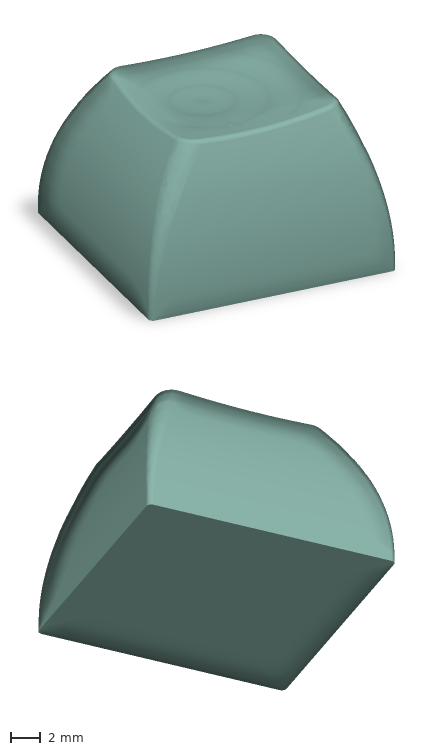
import cadquery as cq
import math

base_size = 18.2
skirt_height = 0.75
blank_height = 12.4
side_wall_radius = 20.5
front_wall_radius = 16.3
back_wall_radius = 25.0

dish_radius = 41.5
dish_center_y = -1.04
dish_floor_z = 10.67

corner_radius_base = 0.35
corner_radius_top = 1.5
rim_radius = 0.4

half_base = base_size / 2


def wall_inset(wall_radius, z):
    """Inward lean at height z of a wall that leaves the skirt vertically."""
    rise = z - skirt_height
    return wall_radius - math.sqrt(wall_radius**2 - rise**2)


def arched_prism(plane, left_radius, right_radius):
    """Prism through the full footprint with one arched wall on each side, standing on the skirt."""
    middle_z = (skirt_height + blank_height) / 2

    def wall_point(side, wall_radius, z):
        return (side * (half_base - wall_inset(wall_radius, z)), z)

    return (
        cq.Workplane(plane)
        .moveTo(-half_base, skirt_height)
        .lineTo(half_base, skirt_height)
        .threePointArc(
            wall_point(1, right_radius, middle_z),
            wall_point(1, right_radius, blank_height),
        )
        .lineTo(*wall_point(-1, left_radius, blank_height))
        .threePointArc(
            wall_point(-1, left_radius, middle_z),
            (-half_base, skirt_height),
        )
        .close()
        .extrude(half_base, both=True)
    )


def skirt():
    """Straight square band with rounded corners."""
    return (
        cq.Workplane("XY")
        .rect(base_size, base_size)
        .extrude(skirt_height)
        .edges("|Z")
        .fillet(corner_radius_base)
    )


def arched_block():
    """Block above the skirt with all four walls arched."""
    across_x = arched_prism("XZ", side_wall_radius, side_wall_radius)
    across_y = arched_prism("YZ", front_wall_radius, back_wall_radius)
    return across_x.intersect(across_y)


def cut_dish(body):
    """Hollow the top with a large sphere."""
    center = (0, dish_center_y, dish_floor_z + dish_radius)
    return body.cut(cq.Workplane("XY").sphere(dish_radius).translate(center))


def round_wall_corners(walls):
    """Round the four wall corners, growing in radius from the skirt to the dish."""
    solid = walls.val()
    rounding = cq.occ_impl.shapes.BRepFilletAPI_MakeFillet(solid.wrapped)
    for edge in solid.Edges():
        start_z = edge.startPoint().z
        end_z = edge.endPoint().z
        if abs(start_z - end_z) < blank_height / 2:
            continue
        if start_z < end_z:
            rounding.Add(corner_radius_base, corner_radius_top, edge.wrapped)
        else:
            rounding.Add(corner_radius_top, corner_radius_base, edge.wrapped)
    return cq.Workplane(cq.Shape.cast(rounding.Shape()))


def round_rim(body):
    """Round the closed edge between dish and walls."""
    return body.faces("%SPHERE").edges().fillet(rim_radius)


walls = round_rim(round_wall_corners(cut_dish(arched_block())))
result = skirt().union(walls)